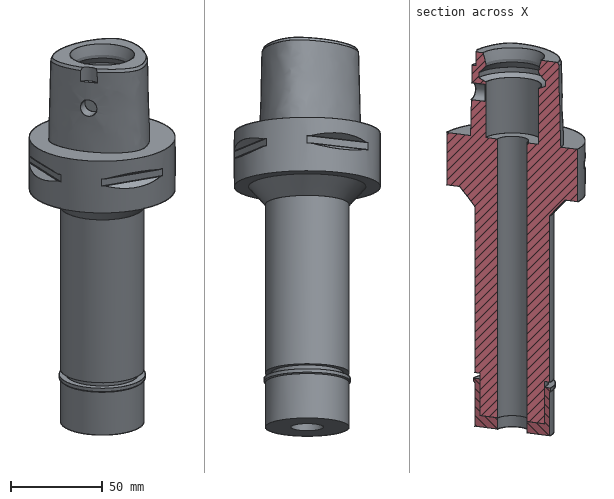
import cadquery as cq
import math

total_height = 213.0
shank_height = 48.0
flange_height = 30.0
cone_height = 10.0
barrel_bottom_z = 30.5
flange_top_z = total_height - shank_height
flange_bottom_z = flange_top_z - flange_height
cone_bottom_z = flange_bottom_z - cone_height

flange_radius = 40.0
cone_top_radius = 32.2
barrel_radius = 23.0
nose_radius = 19.8

nut_height = 27.5
nut_radius = barrel_radius
nut_end_thickness = 6.4
collar_radius = 23.6
collar_side_height = 2.0
collar_chamfer = collar_radius - nut_radius

lobe_count = 3
lobe_height = 2.1
lobe_angle = math.pi / 2
shank_base_radius = 27.7
taper_on_radius = 1 / 40
shank_chamfer_height = 1.7
shank_chamfer_width = 0.9
outline_points = 24

mouth_radius = 17.7
bore_radius = 16.0
through_radius = 9.0
groove_radius = 20.2
mouth_depth = 6.0
land_depth = 7.7
groove_top_depth = 11.7
groove_bottom_depth = 14.5
groove_end_depth = 16.5
bore_depth = shank_height

notch_radius = 6.5
notch_back_y = -22.2
notch_depth = 7.9
chip_hole_radius = 4.7
chip_hole_z = total_height - 22.8
chip_hole_floor_y = -16.8

gripper_count = 4
gripper_first_angle = 45
gripper_z = flange_top_z - 12.4
gripper_floor_distance = 35.4
gripper_flank_distance = 36.2
gripper_floor_width = 4.0
gripper_mouth_width = 9.0


def revolve_about_z(profile):
    """Full turn of a closed profile of (radius, z) points."""
    return cq.Workplane("XZ").polyline(profile).close().revolve(360, (0, 0, 0), (0, 1, 0))


def lobed_outline(mean_radius, z):
    """Closed curve of constant width 2 * mean_radius with one lobe toward +Y."""

    def outline_point(angle):
        phase = lobe_count * (angle - lobe_angle)
        reach = mean_radius + lobe_height * math.cos(phase)
        slope = -lobe_count * lobe_height * math.sin(phase)
        x = reach * math.cos(angle) - slope * math.sin(angle)
        y = reach * math.sin(angle) + slope * math.cos(angle)
        return cq.Vector(x, y, z)

    step = 2 * math.pi / outline_points
    points = [outline_point(i * step) for i in range(outline_points)]
    return cq.Wire.assembleEdges([cq.Edge.makeSpline(points, periodic=True)])


def make_shank():
    """Tapered three-lobed shank with a chamfered top edge."""
    edge_z = total_height - shank_chamfer_height
    edge_radius = shank_base_radius - taper_on_radius * (edge_z - flange_top_z)
    base_outline = lobed_outline(shank_base_radius, flange_top_z)
    edge_outline = lobed_outline(edge_radius, edge_z)
    top_outline = lobed_outline(edge_radius - shank_chamfer_width, total_height)
    taper = cq.Solid.makeLoft([base_outline, edge_outline], True)
    chamfer = cq.Solid.makeLoft([edge_outline, top_outline], True)
    return cq.Workplane(taper).union(cq.Workplane(chamfer))


def make_bore():
    """Conical mouth, short land, undercut groove, main bore and through hole."""
    return revolve_about_z([
        (0, total_height),
        (mouth_radius, total_height),
        (bore_radius, total_height - mouth_depth),
        (bore_radius, total_height - land_depth),
        (groove_radius, total_height - groove_top_depth),
        (groove_radius, total_height - groove_bottom_depth),
        (bore_radius, total_height - groove_end_depth),
        (bore_radius, total_height - bore_depth),
        (through_radius, total_height - bore_depth),
        (through_radius, 0),
        (0, 0),
    ])


def make_notch():
    """Upright round cutter that opens the top edge of the shank."""
    center = (0, notch_back_y - notch_radius, total_height - notch_depth)
    return cq.Workplane("XY", origin=center).circle(notch_radius).extrude(notch_depth)


def make_chip_hole():
    """Radial hole from its flat floor out through the -Y side of the shank."""
    floor_center = (0, chip_hole_floor_y, chip_hole_z)
    return cq.Workplane("XZ", origin=floor_center).circle(chip_hole_radius).extrude(shank_base_radius)


def make_gripper_groove(angle):
    """Straight tangential groove whose middle lies at the given angle about Z."""
    half_floor = gripper_floor_width / 2
    half_mouth = gripper_mouth_width / 2
    section = [
        (gripper_floor_distance, -half_floor),
        (gripper_flank_distance, -half_floor),
        (flange_radius, -half_mouth),
        (flange_radius, half_mouth),
        (gripper_flank_distance, half_floor),
        (gripper_floor_distance, half_floor),
    ]
    groove = cq.Workplane("XZ", origin=(0, 0, gripper_z)).polyline(section).close()
    return groove.extrude(flange_radius, both=True).rotate((0, 0, 0), (0, 0, 1), angle)


def make_holder():
    """Tool holder: nose, barrel, cone and flange below the lobed shank."""
    holder = revolve_about_z([
        (0, nut_end_thickness),
        (nose_radius, nut_end_thickness),
        (nose_radius, barrel_bottom_z),
        (barrel_radius, barrel_bottom_z),
        (barrel_radius, cone_bottom_z),
        (cone_top_radius, flange_bottom_z),
        (flange_radius, flange_bottom_z),
        (flange_radius, flange_top_z),
        (0, flange_top_z),
    ])
    holder = holder.union(make_shank())
    holder = holder.cut(make_bore()).cut(make_notch()).cut(make_chip_hole())
    for i in range(gripper_count):
        holder = holder.cut(make_gripper_groove(gripper_first_angle + i * 360 / gripper_count))
    return holder


def make_nut():
    """Collared nut whose socket fits around the holder nose."""
    collar_edge_z = nut_height - collar_side_height
    return revolve_about_z([
        (through_radius, 0),
        (nut_radius, 0),
        (nut_radius, collar_edge_z - collar_chamfer),
        (collar_radius, collar_edge_z),
        (collar_radius, nut_height),
        (nose_radius, nut_height),
        (nose_radius, nut_end_thickness),
        (through_radius, nut_end_thickness),
    ])


holder = make_holder()
nut = make_nut()
result = cq.Compound.makeCompound([holder.solids().val(), nut.solids().val()])